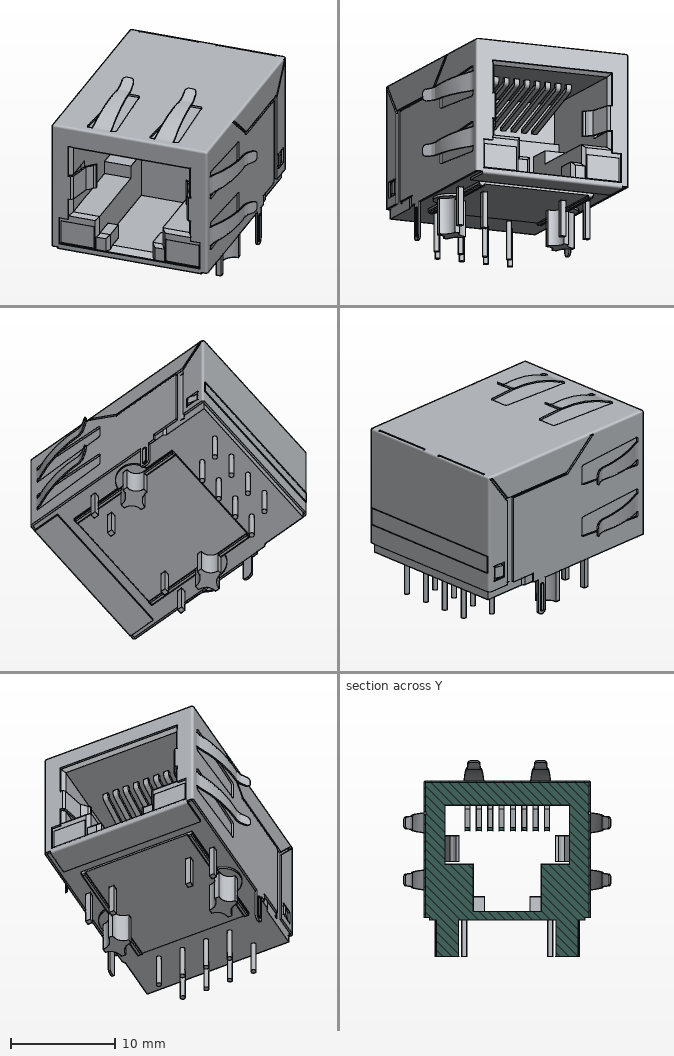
import cadquery as cq


SHEET = 0.2
HALF_WIDTH = 8.0
HEIGHT = 13.13
REAR_Y = 21.26
BEND_RADIUS = 0.23
LIP_DROP = 0.23
LIP_RADIUS = 0.21
LIP_LENGTH = 2.86
LIP_HALF_WIDTH = 7.37
SKIRT_FRONT_Y = 15.18
SKIRT_TOP = 0.96

TAIL_BOTTOM = -3.74

ENTRY_HALF_WIDTH = 6.3
ENTRY_TOP = 11.1
WINDOW_BOTTOM = 0.36
LAMP_WINDOW_HALF_WIDTH = 7.24
LAMP_WINDOW_TOP = 3.2

FINGER_ROOT_X = 6.06
FINGER_WELD_X = 6.28
FINGER_INNER_PATH = [
    (FINGER_WELD_X, 0),
    (FINGER_ROOT_X, 0),
    (5.83, 0.25),
    (5.35, 2.45),
    (5.05, 2.7),
    (4.83, 3.03),
    (4.61, 3.15),
]
FINGER_OUTER_PATH = [
    (4.61, 3.35),
    (4.93, 3.18),
    (5.19, 2.82),
    (5.5, 2.56),
    (6.02, 0.28),
    (FINGER_WELD_X, SHEET),
]
FINGER_BOTTOM = 5.38
FINGER_TOP = 7.85
FINGER_REAR_Y = 3.55

TONGUE_OFFSET_X = 3.2
TONGUE_LEVELS_Z = (3.6, 9.1)
TONGUE_SHEET = 0.13
TONGUE_OVERLAP = 0.21
TONGUE_ROOT_Y = 0.85
TONGUE_TIP_Y = 8.33
TONGUE_FOLD_Y = 1.24
TONGUE_FOLD_RISE = 0.09
TONGUE_MIDDLE = (3.63, 0.9)
TONGUE_CREST_Y = 6.94
TONGUE_BEND_Y = 7.43
TONGUE_ROOT_WIDTH = 1.96
TONGUE_NECK_WIDTH = 1.24
TONGUE_TIP_WIDTH = 1.15
TONGUE_TIP_ROUND = 0.38
TONGUE_RISE = 1.95
TONGUE_CREST_RISE = 1.22
TONGUE_BEND_RISE = 1.37
SLOT_REAR_Y = 8.58
SLOT_ROOT_WIDTH = 3.0
SLOT_REAR_WIDTH = 2.07
SLOT_CORNER = 0.25

FLAP_BOTTOM = 10.15
FLAP_FRONT_Y = 7.13
FLAP_KNEE_FRONT_Y = 10.63
FLAP_KNEE_REAR_Y = 18.7
FLAP_REAR_Y = 20.97
FLAP_GAP = 0.23
JOINT_FRONT_Y = 17.93
JOINT_REAR_Y = 18.8

LATCH_FRONT_Y = 19.2
LATCH_REAR_Y = 20.58
LATCH_BOTTOM = 1.92
LATCH_TOP = 3.5
LATCH_CLEARANCE = 0.21
LATCH_PROUD = 0.09
LATCH_FLAT = 0.13
LATCH_REAR_STEP = 0.06

TAB_Y = 14.05
TAB_WIDTH = 1.02
TAB_RIB_WIDTH = 0.47
TAB_RIB_TOP = -0.45
TAB_RIB_BOTTOM = -3.42
TAB_RIB_PROUD = 0.09
TAB_RIB_TAPER = 30

REAR_BAR_BOTTOM = 2.97
REAR_BAR_TOP = 4.75
REAR_BAR_HALF_WIDTH = 7.8
OVERALL_LENGTH = 21.35
BEND_SLIT_X = 3.97
BEND_SLIT_LENGTH = 6.06
BEND_SLIT_WIDTH = 0.13

CAVITY_CHAMFER = 0.35
CAVITY_FLOOR = 0.6
RAMP_REAR_Y = 1.2
CAVITY_REAR_Y = 12.8
LEDGE_Y = 11.75
LEDGE_TOP = 6.62

BLOCK_INNER_X = 3.25
BLOCK_TOP = 3.82
STEP_Y = 8.97
STEP_TOP = 5.12
GUIDE_INNER_X = 2.18
GUIDE_TOP = 2.0
GUIDE_FRONT_Y = 0.28
GUIDE_REAR_Y = 2.78

CONTACT_COUNT = 8
CONTACT_PITCH = 1.09
CONTACT_WIDTH = 0.51
CONTACT_FRONT_Y = 4.7
CONTACT_BEND_Z = 10.08
CONTACT_END_Z = 7.62
CONTACT_THICKNESS = 0.32
CONTACT_BEND_RADIUS = 0.43

PIN_DIAMETER = 0.5
PIN_COUNT = 8
PIN_ROWS_Y = (17.3, 19.85)

POST_X = 5.72
POST_Y = 10.95
POST_HALF_WIDTH = 1.39
POST_RIB_HALF_WIDTH = 0.23
COLLAR_DIAMETER = 3.57

PAD_FRONT_Y = 3.8
PAD_REAR_Y = 15.85
PAD_DROP = 0.23
PAD_HALF_WIDTH = 5.98
RAIL_DROP = 0.5
RAIL_WIDTH = 0.47
RAIL_CHAMFER = 0.1

WAIST_FRONT_Y = 16.18
WAIST_RAMP_LENGTH = 0.28
WAIST_DEPTH = 0.2
GROOVE_FRONT_Y = 18.17
GROOVE_REAR_Y = 18.57
GROOVE_DEPTH = 0.1

LAMP_INNER_X = 3.71
LAMP_OUTER_X = 7.07
LAMP_BOTTOM = 0.47
LAMP_TOP = 2.8
LEAD_Y = 6.87
LEAD_SPACING = 2.55
LEAD_WIDTH = 0.51

INNER_HALF_WIDTH = HALF_WIDTH - SHEET
INNER_TOP = HEIGHT - SHEET
INNER_REAR_Y = REAR_Y - SHEET
CAVITY_HALF_WIDTH = ENTRY_HALF_WIDTH - CAVITY_CHAMFER
CAVITY_TOP = ENTRY_TOP - CAVITY_CHAMFER
LAMP_REAR_Y = LEAD_Y + LEAD_WIDTH / 2
PIN_PITCH = LEAD_SPACING / 2
WAIST_HALF_WIDTH = INNER_HALF_WIDTH - WAIST_DEPTH
SIDES = (-1, 1)


def block(x_range, y_range, z_range):
    """Axis-aligned box between the given limits."""
    size = [high - low for low, high in (x_range, y_range, z_range)]
    return cq.Workplane("XY").box(*size, centered=False).translate((x_range[0], y_range[0], z_range[0]))


def mirrored_pair(shape):
    """The shape together with its mirror image across the YZ plane."""
    return shape.union(shape.mirror("YZ"))


def side_prism(outline, x_low, x_high):
    """Prism along X of a closed (y, z) outline."""
    return cq.Workplane("YZ").polyline(outline).close().extrude(x_high - x_low).translate((x_low, 0, 0))


def shield_box():
    outer = block((-HALF_WIDTH, HALF_WIDTH), (0, REAR_Y), (0, HEIGHT))
    outer = outer.edges("|Z or >Z").fillet(BEND_RADIUS)
    lip = block((-LIP_HALF_WIDTH, LIP_HALF_WIDTH), (0, LIP_LENGTH), (-LIP_DROP, 0))
    lip = lip.edges("<Y and <Z").fillet(LIP_RADIUS)
    inside = block((-INNER_HALF_WIDTH, INNER_HALF_WIDTH), (SHEET, INNER_REAR_Y), (0, INNER_TOP))
    below_skirt = block((-HALF_WIDTH, HALF_WIDTH), (SKIRT_FRONT_Y, REAR_Y), (0, SKIRT_TOP))
    return outer.union(lip).cut(inside).cut(below_skirt)


def front_window():
    right_edge = [
        (ENTRY_HALF_WIDTH, ENTRY_TOP),
        (ENTRY_HALF_WIDTH, FINGER_TOP),
        (FINGER_ROOT_X, FINGER_TOP),
        (FINGER_ROOT_X, FINGER_BOTTOM),
        (ENTRY_HALF_WIDTH, FINGER_BOTTOM),
        (ENTRY_HALF_WIDTH, LAMP_WINDOW_TOP),
        (LAMP_WINDOW_HALF_WIDTH, LAMP_WINDOW_TOP),
        (LAMP_WINDOW_HALF_WIDTH, WINDOW_BOTTOM),
    ]
    left_edge = [(-x, z) for x, z in reversed(right_edge)]
    return cq.Workplane("XZ").polyline(right_edge + left_edge).close().extrude(-SHEET)


def front_finger():
    """Finger on the +X side: folds in at the window edge, runs back and curls into the cavity."""
    return (
        cq.Workplane("XY", origin=(0, 0, FINGER_BOTTOM))
        .polyline(FINGER_INNER_PATH + FINGER_OUTER_PATH)
        .close()
        .extrude(FINGER_TOP - FINGER_BOTTOM)
    )


def tapered_strip(start_y, start_width, end_y, end_width):
    """Tall tapered prism along Y, wider at its start."""
    return (
        cq.Workplane("XY", origin=(0, 0, -TONGUE_RISE))
        .polyline([
            (-start_width / 2, start_y),
            (start_width / 2, start_y),
            (end_width / 2, end_y),
            (-end_width / 2, end_y),
        ])
        .close()
        .extrude(3 * TONGUE_RISE)
    )


def tongue():
    """Tongue bulging out of a sheet whose outer face is Z = 0, with an upturned round tip."""
    root_y = TONGUE_ROOT_Y
    middle_y, middle_z = TONGUE_MIDDLE
    profile = (
        cq.Workplane("YZ")
        .moveTo(root_y - TONGUE_OVERLAP, 0)
        .lineTo(root_y, 0)
        .lineTo(TONGUE_FOLD_Y, TONGUE_FOLD_RISE)
        .threePointArc((middle_y, middle_z), (TONGUE_CREST_Y, TONGUE_CREST_RISE))
        .lineTo(TONGUE_BEND_Y, TONGUE_BEND_RISE)
        .lineTo(TONGUE_TIP_Y, TONGUE_RISE)
        .lineTo(TONGUE_TIP_Y + TONGUE_SHEET / 2, TONGUE_RISE - TONGUE_SHEET)
        .lineTo(TONGUE_BEND_Y + TONGUE_SHEET / 2, TONGUE_BEND_RISE - TONGUE_SHEET)
        .lineTo(TONGUE_CREST_Y, TONGUE_CREST_RISE - TONGUE_SHEET)
        .threePointArc((middle_y, middle_z - TONGUE_SHEET), (TONGUE_FOLD_Y, TONGUE_FOLD_RISE - TONGUE_SHEET))
        .lineTo(root_y, -TONGUE_SHEET)
        .lineTo(root_y - TONGUE_OVERLAP, -TONGUE_SHEET)
        .close()
        .extrude(TONGUE_ROOT_WIDTH, both=True)
    )
    plan = tapered_strip(TONGUE_ROOT_Y - TONGUE_OVERLAP, TONGUE_ROOT_WIDTH, TONGUE_BEND_Y, TONGUE_NECK_WIDTH)
    tip = tapered_strip(TONGUE_BEND_Y - TONGUE_OVERLAP, TONGUE_NECK_WIDTH, TONGUE_TIP_Y, TONGUE_TIP_WIDTH)
    tip = tip.edges("|Z and >Y").fillet(TONGUE_TIP_ROUND)
    return profile.intersect(plan.union(tip))


def tongue_slot():
    slot = tapered_strip(TONGUE_ROOT_Y, SLOT_ROOT_WIDTH, SLOT_REAR_Y, SLOT_REAR_WIDTH)
    slot = slot.edges("|Z").fillet(SLOT_CORNER)
    sheet_zone = block((-SLOT_ROOT_WIDTH, SLOT_ROOT_WIDTH), (0, SLOT_REAR_Y), (-SHEET, TONGUE_RISE))
    return slot.intersect(sheet_zone)


def on_tongue_places(shape):
    """Copies of the shape on the top wall and, turned outward, on both side walls."""
    copies = [shape.translate((side * TONGUE_OFFSET_X, 0, HEIGHT)) for side in SIDES]
    for side in SIDES:
        turned = shape.rotate((0, 0, 0), (0, 1, 0), side * 90)
        copies += [turned.translate((side * HALF_WIDTH, 0, level)) for level in TONGUE_LEVELS_Z]
    return copies


def flap_gaps():
    """Gap around the folded flap, vertical joint and latch window of the +X wall."""
    flap_outline = [
        (FLAP_FRONT_Y, HEIGHT),
        (FLAP_KNEE_FRONT_Y, FLAP_BOTTOM),
        (FLAP_KNEE_REAR_Y, FLAP_BOTTOM),
        (FLAP_REAR_Y, HEIGHT),
    ]
    flap = cq.Workplane("YZ").polyline(flap_outline).close()
    around = cq.Workplane("YZ").polyline(flap_outline).close().offset2D(FLAP_GAP, "intersection")
    gap = around.extrude(SHEET).cut(flap.extrude(SHEET)).translate((INNER_HALF_WIDTH, 0, 0))
    wall = (INNER_HALF_WIDTH, HALF_WIDTH)
    below_top = block(wall, (0, INNER_REAR_Y), (0, INNER_TOP))
    joint = block(wall, (JOINT_FRONT_Y, JOINT_REAR_Y), (0, FLAP_BOTTOM - FLAP_GAP))
    latch = block(wall, (LATCH_FRONT_Y, LATCH_REAR_Y), (LATCH_BOTTOM, LATCH_TOP))
    return gap.intersect(below_top).union(joint).union(latch)


def ground_tab():
    """Tab under the +X wall with a round end and a narrow raised rib."""
    round_z = TAIL_BOTTOM + TAB_WIDTH / 2
    wall = (INNER_HALF_WIDTH, HALF_WIDTH)
    strip = block(wall, (TAB_Y - TAB_WIDTH / 2, TAB_Y + TAB_WIDTH / 2), (round_z, SHEET))
    end = cq.Workplane("YZ", origin=(INNER_HALF_WIDTH, TAB_Y, round_z)).circle(TAB_WIDTH / 2).extrude(SHEET)
    rib_middle = (TAB_RIB_TOP + TAB_RIB_BOTTOM) / 2
    rib = (
        cq.Workplane("YZ", origin=(HALF_WIDTH, TAB_Y, rib_middle))
        .slot2D(TAB_RIB_TOP - TAB_RIB_BOTTOM, TAB_RIB_WIDTH, 90)
        .extrude(TAB_RIB_PROUD, taper=TAB_RIB_TAPER)
    )
    return strip.union(end).union(rib)


def bend_slits():
    """Relief slits along the upper rear bend."""
    return (
        cq.Workplane("XY", origin=(0, INNER_REAR_Y - BEND_SLIT_WIDTH / 2, INNER_TOP))
        .pushPoints([(side * BEND_SLIT_X, 0) for side in SIDES])
        .rect(BEND_SLIT_LENGTH, BEND_SLIT_WIDTH)
        .extrude(SHEET)
    )


def make_shield():
    shield = shield_box().cut(front_window()).cut(mirrored_pair(flap_gaps())).cut(bend_slits())
    for slot in on_tongue_places(tongue_slot()):
        shield = shield.cut(slot)
    for spring in on_tongue_places(tongue()):
        shield = shield.union(spring)
    rear_bar = block(
        (-REAR_BAR_HALF_WIDTH, REAR_BAR_HALF_WIDTH),
        (INNER_REAR_Y, OVERALL_LENGTH),
        (REAR_BAR_BOTTOM, REAR_BAR_TOP),
    )
    return shield.union(mirrored_pair(front_finger())).union(mirrored_pair(ground_tab())).union(rear_bar)


def make_lamp(side):
    """Light block with two square leads; side is -1 or 1."""
    body = block((LAMP_INNER_X, LAMP_OUTER_X), (SHEET, LAMP_REAR_Y), (LAMP_BOTTOM, LAMP_TOP))
    leads = (
        cq.Workplane("XY", origin=((LAMP_INNER_X + LAMP_OUTER_X) / 2, LEAD_Y, TAIL_BOTTOM))
        .pushPoints([(-LEAD_SPACING / 2, 0), (LEAD_SPACING / 2, 0)])
        .rect(LEAD_WIDTH, LEAD_WIDTH)
        .extrude(LAMP_BOTTOM - TAIL_BOTTOM)
    )
    lamp = body.union(leads)
    return lamp if side > 0 else lamp.mirror("YZ")


def housing_shell():
    shell = block((-INNER_HALF_WIDTH, INNER_HALF_WIDTH), (SHEET, INNER_REAR_Y), (0, INNER_TOP))
    cavity = block(
        (-CAVITY_HALF_WIDTH, CAVITY_HALF_WIDTH), (SHEET, CAVITY_REAR_Y), (CAVITY_FLOOR, CAVITY_TOP)
    )
    entry_bottom = CAVITY_FLOOR - CAVITY_CHAMFER
    entry = (
        cq.Workplane("XZ", origin=(0, SHEET, (ENTRY_TOP + entry_bottom) / 2))
        .rect(2 * ENTRY_HALF_WIDTH, ENTRY_TOP - entry_bottom)
        .extrude(-CAVITY_CHAMFER, taper=45)
    )
    finger_room = block(
        (-ENTRY_HALF_WIDTH, ENTRY_HALF_WIDTH), (SHEET, FINGER_REAR_Y), (FINGER_BOTTOM, FINGER_TOP)
    )
    ledge = block((-CAVITY_HALF_WIDTH, CAVITY_HALF_WIDTH), (LEDGE_Y, CAVITY_REAR_Y), (0, LEDGE_TOP))
    ramp_outline = [(SHEET, entry_bottom), (SHEET, CAVITY_FLOOR), (RAMP_REAR_Y, CAVITY_FLOOR)]
    ramp = side_prism(ramp_outline, -CAVITY_HALF_WIDTH, CAVITY_HALF_WIDTH)
    return shell.cut(cavity).cut(entry).cut(ramp).cut(finger_room).union(ledge)


def corner_blocks():
    """Lamp block, taller rear step and low guide at the lower +X corner of the cavity."""
    lamp_block = block((BLOCK_INNER_X, INNER_HALF_WIDTH), (SHEET, CAVITY_REAR_Y), (0, BLOCK_TOP))
    lamp_block = lamp_block.faces("<Y").edges(">Z or <X").chamfer(CAVITY_CHAMFER)
    step = block((BLOCK_INNER_X, CAVITY_HALF_WIDTH), (STEP_Y, CAVITY_REAR_Y), (0, STEP_TOP))
    guide_x = (GUIDE_INNER_X, BLOCK_INNER_X + CAVITY_CHAMFER)
    guide = block(guide_x, (GUIDE_FRONT_Y, GUIDE_REAR_Y), (0, GUIDE_TOP))
    guide = guide.faces("<Y").edges(">Z or <X").chamfer(CAVITY_CHAMFER)
    return lamp_block.union(step).union(guide)


def contacts():
    """Row of wires that drop from the cavity ceiling, bend and slope down to its rear wall."""
    rear_y = CAVITY_REAR_Y + SHEET
    profile = (
        cq.Workplane("YZ")
        .polyline([
            (CONTACT_FRONT_Y, CAVITY_TOP + SHEET),
            (CONTACT_FRONT_Y, CONTACT_BEND_Z),
            (rear_y, CONTACT_END_Z),
            (rear_y, CONTACT_END_Z + CONTACT_THICKNESS),
            (CONTACT_FRONT_Y + CONTACT_THICKNESS, CONTACT_BEND_Z + CONTACT_THICKNESS),
            (CONTACT_FRONT_Y + CONTACT_THICKNESS, CAVITY_TOP + SHEET),
        ])
        .close()
        .extrude(CONTACT_WIDTH / 2, both=True)
    )
    wire = profile.edges("|X and <Y").edges("<Z").fillet(CONTACT_BEND_RADIUS)
    middle = (CONTACT_COUNT - 1) / 2
    return [wire.translate(((i - middle) * CONTACT_PITCH, 0, 0)) for i in range(CONTACT_COUNT)]


def circuit_pins():
    """Round pins under the rear of the housing, alternating between the two rows."""
    middle = (PIN_COUNT - 1) / 2
    places = [((i - middle) * PIN_PITCH, PIN_ROWS_Y[i % 2]) for i in range(PIN_COUNT)]
    pins = cq.Workplane("XY", origin=(0, 0, TAIL_BOTTOM)).pushPoints(places).circle(PIN_DIAMETER / 2)
    return pins.extrude(SHEET - TAIL_BOTTOM)


def mounting_post():
    """Post under the +X side: a square bar with a round hollow along each corner."""
    hollow_radius = POST_HALF_WIDTH - POST_RIB_HALF_WIDTH
    base = cq.Workplane("XY", origin=(POST_X, POST_Y, TAIL_BOTTOM))
    length = SHEET - TAIL_BOTTOM
    hollows = base.rect(2 * POST_HALF_WIDTH, 2 * POST_HALF_WIDTH, forConstruction=True).vertices()
    post = base.rect(2 * POST_HALF_WIDTH, 2 * POST_HALF_WIDTH).extrude(length)
    post = post.cut(hollows.circle(hollow_radius).extrude(length))
    collar = cq.Workplane("XY", origin=(POST_X, POST_Y, -PAD_DROP)).circle(COLLAR_DIAMETER / 2)
    return post.union(collar.extrude(PAD_DROP))


def standoffs():
    """Thin pad under the housing and a narrow rail on its +X side."""
    pad = block((0, PAD_HALF_WIDTH), (PAD_FRONT_Y, PAD_REAR_Y), (-PAD_DROP, 0))
    rail = block(
        (POST_X - RAIL_WIDTH / 2, POST_X + RAIL_WIDTH / 2), (PAD_FRONT_Y, PAD_REAR_Y), (-RAIL_DROP, 0)
    )
    return pad.union(rail.faces("<Z").edges().chamfer(RAIL_CHAMFER))


def side_waist():
    """Material taken off the +X side: the rear part behind a ramp, and the groove in it."""
    waist = cq.Workplane("XY").polyline([
        (INNER_HALF_WIDTH, WAIST_FRONT_Y),
        (WAIST_HALF_WIDTH, WAIST_FRONT_Y + WAIST_RAMP_LENGTH),
        (WAIST_HALF_WIDTH, INNER_REAR_Y),
        (INNER_HALF_WIDTH, INNER_REAR_Y),
    ])
    groove = cq.Workplane("XY", origin=(0, 0, SKIRT_TOP)).polyline([
        (WAIST_HALF_WIDTH, GROOVE_FRONT_Y),
        (WAIST_HALF_WIDTH, GROOVE_REAR_Y),
        (WAIST_HALF_WIDTH - GROOVE_DEPTH, GROOVE_REAR_Y),
    ])
    return waist.close().extrude(INNER_TOP).union(groove.close().extrude(FLAP_BOTTOM - FLAP_GAP - SKIRT_TOP))


def latch_wedge():
    """Wedge on the +X side, steep at its front and sloping down to the rear."""
    front_y = LATCH_FRONT_Y + LATCH_CLEARANCE
    rear_y = LATCH_REAR_Y - LATCH_CLEARANCE
    outer_x = HALF_WIDTH + LATCH_PROUD
    outline = [
        (WAIST_HALF_WIDTH, front_y),
        (outer_x, front_y),
        (outer_x, front_y + LATCH_FLAT),
        (INNER_HALF_WIDTH + LATCH_REAR_STEP, rear_y),
        (WAIST_HALF_WIDTH, rear_y),
    ]
    wedge = cq.Workplane("XY", origin=(0, 0, LATCH_BOTTOM + LATCH_CLEARANCE)).polyline(outline).close()
    return wedge.extrude(LATCH_TOP - LATCH_BOTTOM - 2 * LATCH_CLEARANCE)


def make_housing(lamps):
    housing = housing_shell().union(mirrored_pair(corner_blocks())).cut(mirrored_pair(side_waist()))
    for part in (standoffs(), mounting_post(), latch_wedge()):
        housing = housing.union(mirrored_pair(part))
    housing = housing.union(circuit_pins())
    for contact in contacts():
        housing = housing.union(contact)
    for lamp in lamps:
        housing = housing.cut(lamp)
    return housing


shield = make_shield()
lamps = [make_lamp(side) for side in SIDES]
housing = make_housing(lamps)

result = cq.Compound.makeCompound([shield.val(), housing.val(), *[lamp.val() for lamp in lamps]])